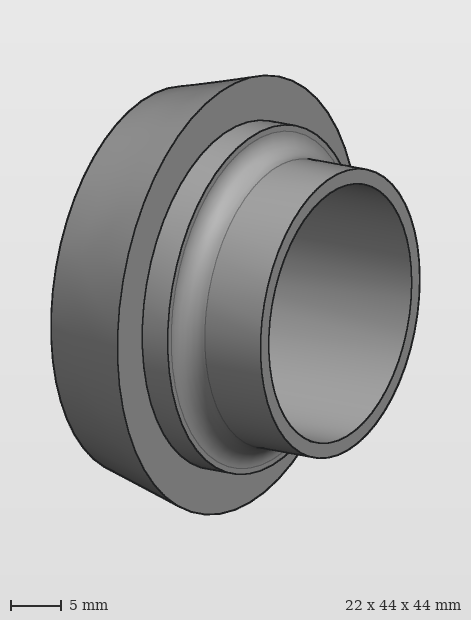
import cadquery as cq
import math

overall_length = 22.0
flange_back = 10.0
collar_length = 3.0
collar_back = flange_back + collar_length

flange_diameter = 44.0
collar_diameter = 35.0
hub_diameter = 29.0
bore_diameter = 26.0

land_width = 0.5
face_depth = 0.5
flange_taper = 15.0
root_fillet = 2.4

flange_radius = flange_diameter / 2
collar_radius = collar_diameter / 2
hub_radius = hub_diameter / 2
bore_radius = bore_diameter / 2
land_radius = bore_radius + land_width
taper_length = flange_back - face_depth
face_outer_radius = flange_radius - taper_length * math.tan(math.radians(flange_taper))


def fillet_midpoint():
    """Point halfway along the concave quarter arc at the foot of the collar."""
    center_x = collar_back + root_fillet
    center_radius = hub_radius + root_fillet
    offset = root_fillet * math.sqrt(0.5)
    return center_x - offset, center_radius - offset


def make_ring():
    """Revolve the half section (X along the axis, Y as radius) about X."""
    section = (
        cq.Workplane("XY")
        .moveTo(0, bore_radius)
        .lineTo(0, land_radius)
        .lineTo(face_depth, face_outer_radius)
        .lineTo(flange_back, flange_radius)
        .lineTo(flange_back, collar_radius)
        .lineTo(collar_back, collar_radius)
        .lineTo(collar_back, hub_radius + root_fillet)
        .threePointArc(fillet_midpoint(), (collar_back + root_fillet, hub_radius))
        .lineTo(overall_length, hub_radius)
        .lineTo(overall_length, bore_radius)
        .close()
    )
    return section.revolve(360, (0, 0, 0), (1, 0, 0))


result = make_ring()